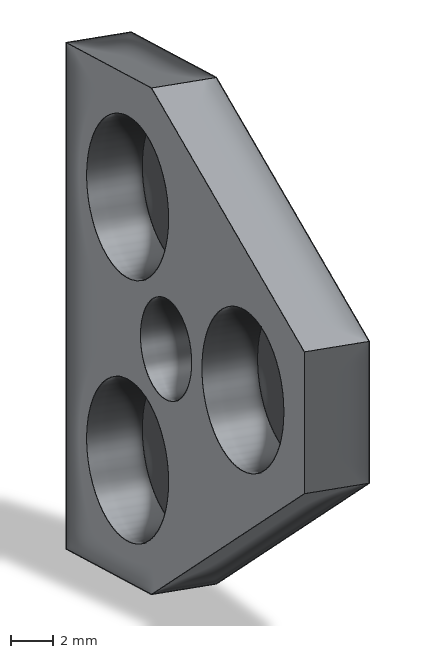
import cadquery as cq
import math

height = 25.0
width = 23.25
thickness = 3.5
left_flat = 8.32
right_flat = 7.0

hole_diameter = 5.0
hole_x = 9.75
pocket_diameter = 8.0
pocket_depth = 3.0
pocket_circle_radius = 7.5
pocket_count = 3


def make_plate():
    """Symmetric plate with its right side tapering to a short flat."""
    outline = [
        (0, -height / 2),
        (left_flat, -height / 2),
        (width, -right_flat / 2),
        (width, right_flat / 2),
        (left_flat, height / 2),
        (0, height / 2),
    ]
    return cq.Workplane("XZ").polyline(outline).close().extrude(-thickness)


def make_bore(x, z, diameter, depth):
    """Cylinder running from the front face into the plate."""
    return cq.Workplane("XZ").center(x, z).circle(diameter / 2).extrude(-depth)


result = make_plate().cut(make_bore(hole_x, 0, hole_diameter, thickness))

for index in range(pocket_count):
    angle = 2 * math.pi * index / pocket_count
    pocket_x = hole_x + pocket_circle_radius * math.cos(angle)
    pocket_z = pocket_circle_radius * math.sin(angle)
    result = result.cut(make_bore(pocket_x, pocket_z, pocket_diameter, pocket_depth))